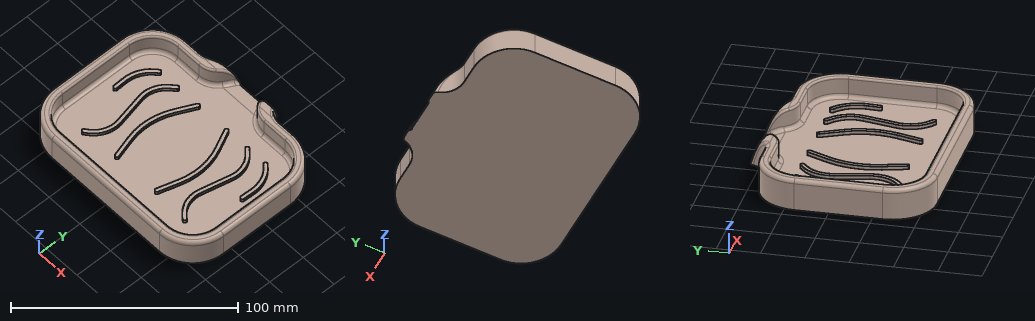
import cadquery as cq
import math

length = 110.0
width = 80.0
height = 15.0
corner_radius = 20.0
wall = 5.0
floor_height = 5.0
outer_rim_radius = 2.0
inner_rim_radius = 1.0
floor_fillet_radius = 2.0

spout_reach = 9.2
channel_half_width = 10.0
flare_radius = 11.2
nose_inset = 1.1
nose_middle_setback = 6.8
nose_middle_height = 13.5
nose_tip_slope = math.radians(73)
channel_reach = 8.5
channel_drop_length = 9.2

rib_width = 2.0
rib_height = 1.6
rib_lines = [
    ([(-34.8, 23.6), (-41.9, 18.5), (-41.4, 3.7)], 16.7),
    ([(-22.9, 23.6), (-31.5, 16.2), (-24.3, -16.3), (-32.9, -22.8)], 14.1),
    ([(-9.4, 23.6), (-19.8, 2.2), (-13.0, -21.2)], 34.5),
]

back = width / 2
spout_tip = back + spout_reach
spout_half_width = channel_half_width + wall
spout_root = back - corner_radius
overshoot = 5.5


def rounded_block(inset, bottom):
    """Block with the tray's plan moved inwards by an inset, from a given level to the top."""
    block = cq.Workplane("XY", origin=(0, 0, bottom)).rect(length - 2 * inset, width - 2 * inset)
    return block.extrude(height - bottom).edges("|Z").fillet(corner_radius - inset)


def flared_plan(half_width, flare_start):
    """Plan of a neck whose sides flare out in quarter rounds towards the back wall."""
    root_half_width = half_width + flare_radius
    flare_end = flare_start + flare_radius
    bulge = flare_radius * (1 - math.sqrt(0.5))
    far = spout_tip + overshoot
    return (
        cq.Workplane("XY")
        .moveTo(-root_half_width, spout_root)
        .lineTo(-root_half_width, flare_start)
        .threePointArc((-half_width - bulge, flare_start + bulge), (-half_width, flare_end))
        .lineTo(-half_width, far)
        .lineTo(half_width, far)
        .lineTo(half_width, flare_end)
        .threePointArc((half_width + bulge, flare_start + bulge), (root_half_width, flare_start))
        .lineTo(root_half_width, spout_root)
        .close()
    )


def nose_profile():
    """Side profile of the spout: a flat top that curves smoothly down to the tip at the base."""
    return (
        cq.Workplane("YZ")
        .moveTo(spout_root, 0)
        .lineTo(spout_root, height)
        .lineTo(back - nose_inset, height)
        .spline(
            [(spout_tip - nose_middle_setback, nose_middle_height), (spout_tip, 0)],
            tangents=[(1, 0), (math.cos(nose_tip_slope), -math.sin(nose_tip_slope))],
            includeCurrent=True,
        )
        .close()
    )


def channel_profile():
    """Side profile of the space above the spout floor, which curves down to the base."""
    end_y = back + channel_reach
    start_y = end_y - channel_drop_length
    radius = (channel_drop_length**2 + floor_height**2) / (2 * floor_height)
    half_angle = math.asin(channel_drop_length / radius) / 2
    middle = (start_y + radius * math.sin(half_angle), floor_height - radius * (1 - math.cos(half_angle)))
    return (
        cq.Workplane("YZ")
        .moveTo(spout_root, floor_height)
        .lineTo(start_y, floor_height)
        .threePointArc(middle, (end_y, 0))
        .lineTo(spout_tip + overshoot, 0)
        .lineTo(spout_tip + overshoot, height)
        .lineTo(spout_root, height)
        .close()
    )


def rib_outline(points, bend_radius):
    """Slot with round ends around a line of straight runs joined by tangent arcs."""
    vectors = [cq.Vector(x, y, 0) for x, y in points]
    line = cq.Workplane("XY", origin=(0, 0, floor_height)).moveTo(*points[0])
    for before, bend, after in zip(vectors, vectors[1:], vectors[2:]):
        back_along = (before - bend).normalized()
        ahead = (after - bend).normalized()
        half_angle = back_along.getAngle(ahead) / 2
        arc_start = bend + back_along * (bend_radius / math.tan(half_angle))
        arc_end = bend + ahead * (bend_radius / math.tan(half_angle))
        towards_centre = (back_along + ahead).normalized()
        arc_middle = bend + towards_centre * (bend_radius / math.sin(half_angle) - bend_radius)
        line = line.lineTo(arc_start.x, arc_start.y)
        line = line.threePointArc((arc_middle.x, arc_middle.y), (arc_end.x, arc_end.y))
    return line.lineTo(*points[-1]).wire().offset2D(rib_width / 2)


def fillet_along(solid, radius, *points):
    """Round the edge nearest to each point, together with the edges that run on smoothly from it."""
    for point in points:
        solid = solid.edges(cq.selectors.NearestToPointSelector(point)).fillet(radius)
    return solid


body = rounded_block(0, 0).faces(">Z").edges().fillet(outer_rim_radius)
spout = flared_plan(spout_half_width, back).extrude(height)
spout = spout.intersect(nose_profile().extrude(length / 2, both=True))
nose_middle = (back + spout_tip) / 2
spout = fillet_along(
    spout,
    outer_rim_radius,
    (-spout_half_width, nose_middle, height / 2),
    (spout_half_width, nose_middle, height / 2),
)
outer = body.union(spout)

channel = flared_plan(channel_half_width, back - wall).extrude(height)
channel = channel.intersect(channel_profile().extrude(length / 2, both=True))
cavity = rounded_block(wall, floor_height).union(channel)
front_wall = wall - width / 2
cavity = fillet_along(cavity, floor_fillet_radius, (0, front_wall, floor_height))
tray = outer.cut(cavity)
tray = fillet_along(tray, inner_rim_radius, (0, front_wall, height))

result = tray
for points, bend_radius in rib_lines:
    rib = rib_outline(points, bend_radius).extrude(rib_height)
    result = result.union(rib).union(rib.mirror("YZ"))